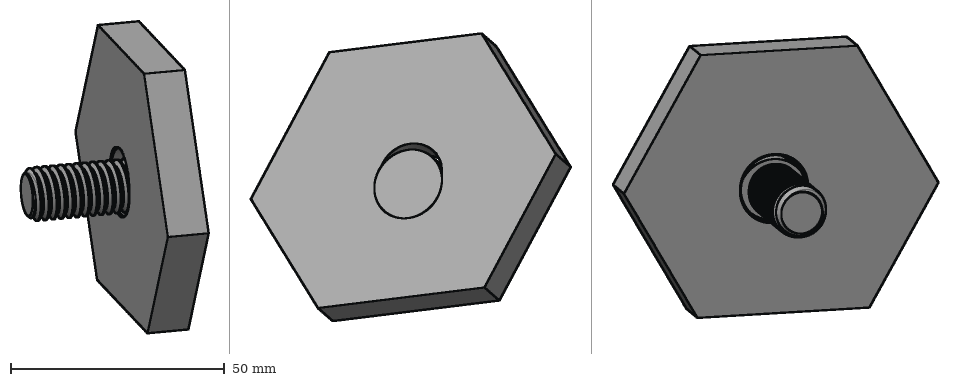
import cadquery as cq
import math

plate_thickness = 10.0
plate_width = 76.2
plate_left = -36.9
plate_top = 33.9
plate_height = 63.0
left_corner_z = 1.75
right_corner_z = -0.1
side_slope = math.tan(math.radians(60))

hole_radius = 7.9
hole_chamfer = 0.4
hole_x = -0.5
hole_z = 0.85

total_depth = 32.8
head_radius = 8.45
head_z = -1.15
head_setback = 2.6
thread_radius = 6.3
ten_turn_lead = 19.5
pitch = ten_turn_lead / 10
tip_chamfer = 1.4
last_crest = 1.6

flank_slope = math.tan(math.radians(30))
crest_width = pitch / 8
root_width = pitch / 8
thread_depth = (pitch - crest_width - root_width) / 2 / flank_slope
core_radius = thread_radius - thread_depth

ridge_sink = 0.115
core_margin = 3 * pitch
spare_turns = 2
envelope_clearance = 0.8

head_thickness = plate_thickness - head_setback
shank_length = total_depth - head_thickness


def rod(radius, x, z, front_y, length):
    """Cylinder along +Y that starts at front_y."""
    return cq.Workplane("XZ", origin=(x, front_y, z)).circle(radius).extrude(-length)


def make_head():
    return rod(head_radius, 0, head_z, head_setback, head_thickness)


def make_plate():
    plate_right = plate_left + plate_width
    plate_bottom = plate_top - plate_height
    corners = [
        (plate_left, left_corner_z),
        (plate_left + (plate_top - left_corner_z) / side_slope, plate_top),
        (plate_right - (plate_top - right_corner_z) / side_slope, plate_top),
        (plate_right, right_corner_z),
        (plate_right - (right_corner_z - plate_bottom) / side_slope, plate_bottom),
        (plate_left + (left_corner_z - plate_bottom) / side_slope, plate_bottom),
    ]
    slab = cq.Workplane("XZ").polyline(corners).close().extrude(-plate_thickness)
    hole = rod(hole_radius, hole_x, hole_z, 0, plate_thickness)
    mouth = cq.Workplane(
        cq.Solid.makeCone(
            hole_radius + hole_chamfer,
            hole_radius,
            hole_chamfer,
            cq.Vector(hole_x, 0, hole_z),
            cq.Vector(0, 1, 0),
        )
    )
    return slab.cut(hole).cut(mouth).cut(make_head())


def make_thread_ridge():
    """Helical ridge around +Z that runs past both ends of the shank, its foot sunk into the core."""
    foot_radius = core_radius - ridge_sink
    half_foot = crest_width / 2 + (thread_radius - foot_radius) * flank_slope
    end_crest_z = shank_length - last_crest
    turns = math.ceil(end_crest_z / pitch) + spare_turns
    start_z = end_crest_z + pitch - turns * pitch
    path = cq.Wire.makeHelix(pitch, turns * pitch, foot_radius, cq.Vector(0, 0, start_z))
    profile = cq.Workplane("XZ", origin=(0, 0, start_z)).polyline([
        (foot_radius, -half_foot),
        (thread_radius, -crest_width / 2),
        (thread_radius, crest_width / 2),
        (foot_radius, half_foot),
    ]).close()
    return profile.sweep(cq.Workplane(path), isFrenet=True)


def make_shank():
    """Threaded rod along +Z with a flat foot at Z = 0 and a chamfered tip."""
    core = (
        cq.Workplane("XY", origin=(0, 0, -core_margin))
        .circle(core_radius)
        .extrude(shank_length + 2 * core_margin)
    )
    envelope = (
        cq.Workplane("XY")
        .circle(thread_radius + envelope_clearance)
        .extrude(shank_length)
        .faces(">Z")
        .chamfer(tip_chamfer + envelope_clearance)
    )
    return core.union(make_thread_ridge()).intersect(envelope)


def make_stud():
    shank = make_shank().rotate((0, 0, 0), (1, 0, 0), 90).translate((0, head_setback, 0))
    return make_head().union(shank)


plate = make_plate()
stud = make_stud()

result = cq.Compound.makeCompound([plate.solids().val(), stud.solids().val()])